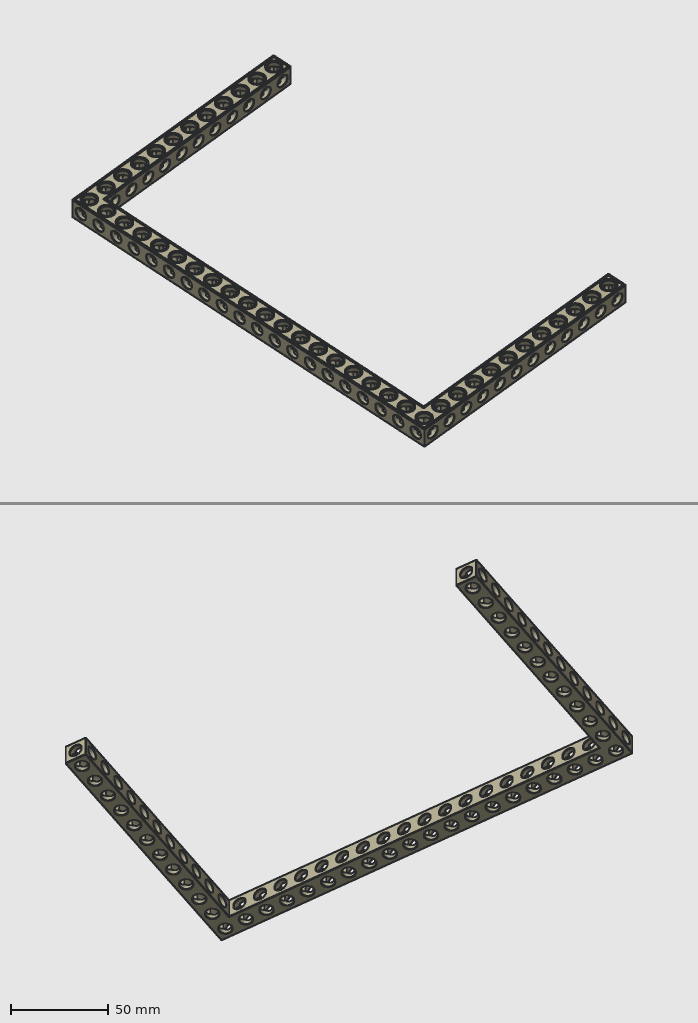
import cadquery as cq

pitch = 12.5
base_count = 20
arm_count = 12
hole_diameter = 7.0
edge_chamfer = 0.3
panel_depth = 0.2
panel_margin = 1.12
ring_diameter = 9.2

length = base_count * pitch
depth = arm_count * pitch
height = pitch
half_pitch = pitch / 2
mid_height = height / 2
hole_radius = hole_diameter / 2
panel_floor = height - panel_depth

base_places = [half_pitch + i * pitch for i in range(base_count)]
arm_places = [half_pitch + i * pitch for i in range(arm_count)]
arm_centers = (base_places[0], base_places[-1])

vertical_points = [(x, half_pitch) for x in base_places]
vertical_points += [(x, y) for x in arm_centers for y in arm_places[1:]]

along_x = cq.Vector(1, 0, 0)
along_y = cq.Vector(0, 1, 0)
along_z = cq.Vector(0, 0, 1)


def frame_outline(bottom):
    """Closed U-shaped outline, open toward +Y, on the plane z = bottom."""
    corners = [
        (0, 0),
        (length, 0),
        (length, depth),
        (length - pitch, depth),
        (length - pitch, pitch),
        (pitch, pitch),
        (pitch, depth),
        (0, depth),
    ]
    return cq.Workplane("XY", origin=(0, 0, bottom)).polyline(corners).close()


def frame_body():
    """U-shaped frame of square beams, chamfered everywhere but in the two inside corners."""
    body = frame_outline(0).extrude(height)
    return body.edges("<X or >X or >Y or (not |Z)").chamfer(edge_chamfer)


def top_panel():
    """Shallow recess cutter that follows the frame and leaves a ring around each hole."""
    panel = frame_outline(panel_floor).offset2D(-panel_margin, "intersection").extrude(panel_depth)
    rings = cq.Workplane("XY", origin=(0, 0, panel_floor)).pushPoints(vertical_points)
    return panel.cut(rings.circle(ring_diameter / 2).extrude(panel_depth))


def bore(start, direction, bore_length):
    """Cutter for one straight hole: a cylinder with a countersink at each mouth."""
    entry = cq.Vector(*start)
    leave = entry + direction * bore_length
    mouth_radius = hole_radius + edge_chamfer
    shaft = cq.Solid.makeCylinder(hole_radius, bore_length, entry, direction)
    entry_cone = cq.Solid.makeCone(mouth_radius, hole_radius, edge_chamfer, entry, direction)
    leave_cone = cq.Solid.makeCone(mouth_radius, hole_radius, edge_chamfer, leave, direction * -1)
    return shaft.fuse(entry_cone, leave_cone)


def vertical_bores():
    """Holes along Z through the base and both arms."""
    return [bore((x, y, 0), along_z, height) for x, y in vertical_points]


def lengthwise_bores():
    """Holes along Y through the base; the two outer ones run the full length of the arms."""
    bores = [bore((x, 0, mid_height), along_y, pitch) for x in base_places[1:-1]]
    bores += [bore((x, 0, mid_height), along_y, depth) for x in arm_centers]
    return bores


def crosswise_bores():
    """Holes along X through both arms; the lowest runs the full length of the base."""
    bores = [bore((0, half_pitch, mid_height), along_x, length)]
    for arm_start in (0, length - pitch):
        bores += [bore((arm_start, y, mid_height), along_x, pitch) for y in arm_places[1:]]
    return bores


frame = frame_body().cut(top_panel()).val()
for bores in (vertical_bores(), lengthwise_bores(), crosswise_bores()):
    frame = frame.cut(*bores)

result = cq.Workplane("XY").newObject([frame.Solids()[0]])